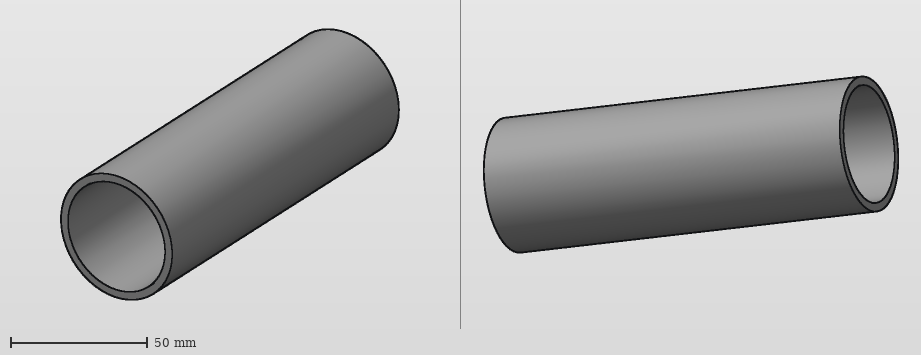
import cadquery as cq

length = 145.0
outer_diameter = 50.0
wall_thickness = 3.2
inner_diameter = outer_diameter - 2 * wall_thickness

result = (
    cq.Workplane("XZ", origin=(0, length / 2, 0))
    .circle(outer_diameter / 2)
    .circle(inner_diameter / 2)
    .extrude(length)
)